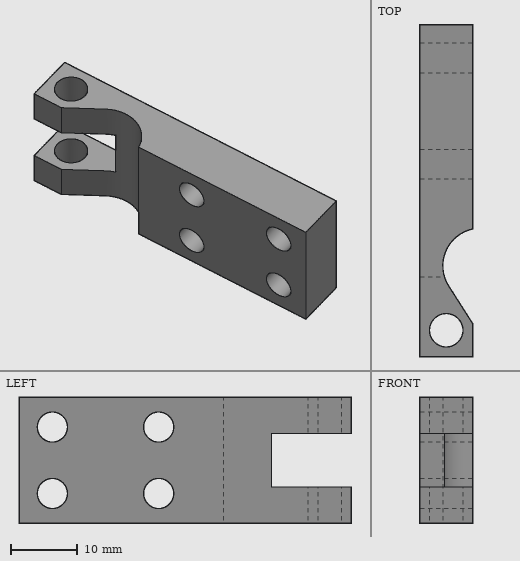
import cadquery as cq
import math

thickness = 8.0
length = 50.0
height = 19.0

slot_depth = 12.0
slot_width = 8.0
pin_diameter = 5.0
pin_x = thickness / 2
pin_y = 4.0

mount_diameter = 4.5
mount_spacing_z = 10.0
mount_spacing_y = 16.0
mount_end_distance = 5.0

relief_radius = 5.65
relief_depth = 4.5
relief_y = 13.7
ramp_start_y = 5.0
relief_x = thickness - relief_depth + relief_radius


def relief_point(angle):
    """Point on the relief circle at an angle in radians from +X."""
    return (
        relief_x + relief_radius * math.cos(angle),
        relief_y + relief_radius * math.sin(angle),
    )


def make_body():
    """Extrude the side profile with its relief and ramp."""
    ramp_dx = thickness - relief_x
    ramp_dy = ramp_start_y - relief_y
    ramp_distance = math.hypot(ramp_dx, ramp_dy)
    ramp_direction = math.atan2(ramp_dy, ramp_dx)
    tangent_angle = ramp_direction - math.acos(relief_radius / ramp_distance)
    relief_end_y = relief_y + math.sqrt(relief_radius**2 - ramp_dx**2)

    return (
        cq.Workplane("XY")
        .moveTo(0, 0)
        .lineTo(thickness, 0)
        .lineTo(thickness, ramp_start_y)
        .lineTo(*relief_point(tangent_angle))
        .threePointArc(relief_point(math.pi), (thickness, relief_end_y))
        .lineTo(thickness, length)
        .lineTo(0, length)
        .close()
        .extrude(height)
    )


def make_slot():
    """Slot through the thickness, open at the clevis end."""
    return cq.Workplane("XY").box(thickness, slot_depth, slot_width, centered=False).translate(
        (0, 0, (height - slot_width) / 2)
    )


def make_pin_hole():
    return cq.Workplane("XY").center(pin_x, pin_y).circle(pin_diameter / 2).extrude(height)


def make_mount_holes():
    """Two by two pattern, centered on the height."""
    pattern_y = length - mount_end_distance - mount_spacing_y / 2
    return (
        cq.Workplane("YZ")
        .center(pattern_y, height / 2)
        .rarray(mount_spacing_y, mount_spacing_z, 2, 2)
        .circle(mount_diameter / 2)
        .extrude(thickness)
    )


result = make_body().cut(make_slot()).cut(make_pin_hole()).cut(make_mount_holes())